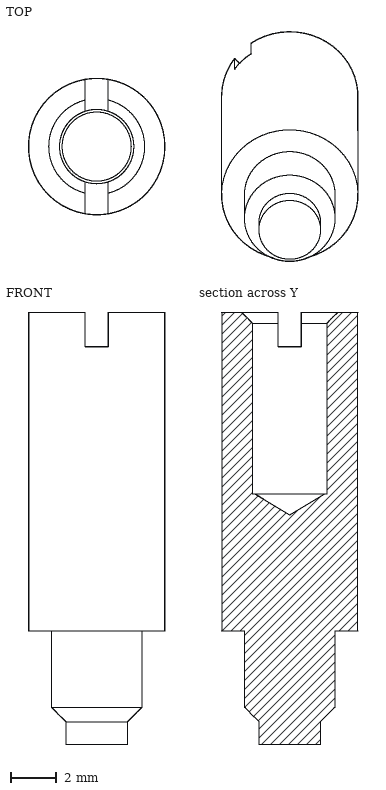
import cadquery as cq
import math

total_length = 19.0
body_diameter = 6.0
body_length = 14.0
neck_diameter = 3.99
tip_diameter = 2.72
tip_length = 1.0
taper_height = (neck_diameter - tip_diameter) / 2

bore_diameter = 3.27
drill_diameter = 3.04
countersink_diameter = 4.22
countersink_depth = (countersink_diameter - bore_diameter) / 2
bore_depth = 7.98
drill_point_angle = 118.0

slot_width = 1.0
slot_depth = 1.5


def revolve_profile(points):
    """Revolve (radius, z) points around the Z axis."""
    return cq.Workplane("XZ").polyline(points).close().revolve(360, (0, 0, 0), (0, 1, 0))


def make_pin():
    shoulder_z = total_length - body_length
    return revolve_profile([
        (0, 0),
        (tip_diameter / 2, 0),
        (tip_diameter / 2, tip_length),
        (neck_diameter / 2, tip_length + taper_height),
        (neck_diameter / 2, shoulder_z),
        (body_diameter / 2, shoulder_z),
        (body_diameter / 2, total_length),
        (0, total_length),
    ])


def make_bore():
    floor_z = total_length - bore_depth
    point_height = drill_diameter / 2 / math.tan(math.radians(drill_point_angle / 2))
    return revolve_profile([
        (0, total_length),
        (countersink_diameter / 2, total_length),
        (bore_diameter / 2, total_length - countersink_depth),
        (bore_diameter / 2, floor_z),
        (drill_diameter / 2, floor_z),
        (0, floor_z - point_height),
    ])


def make_slot():
    return (
        cq.Workplane("XY")
        .workplane(offset=total_length - slot_depth)
        .rect(slot_width, body_diameter)
        .extrude(slot_depth)
    )


result = make_pin().cut(make_bore()).cut(make_slot())